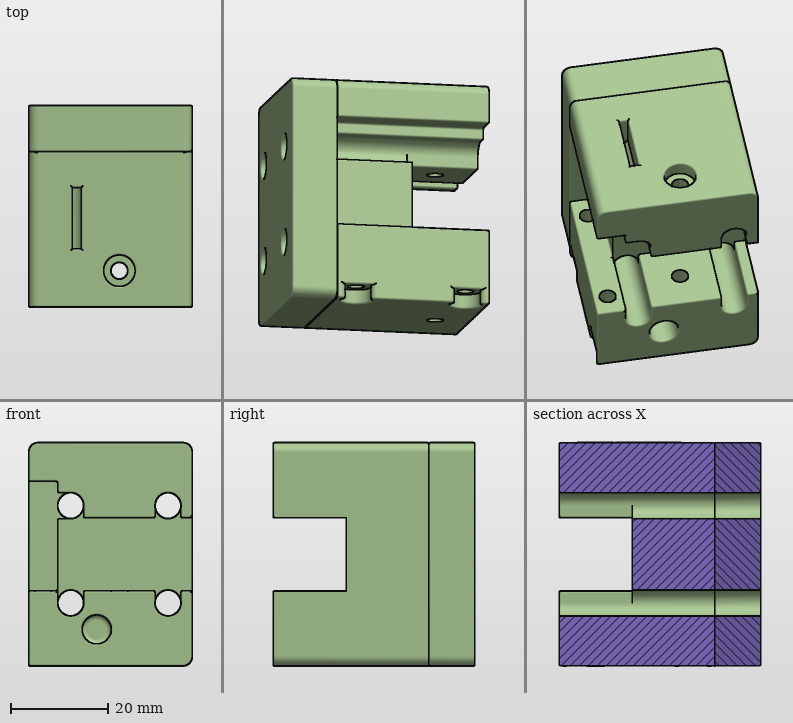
import cadquery as cq
WIDTH = 33.65
DEPTH = 41.5
HEIGHT = 46.0
BODY_DEPTH = 32.0

CORNER_RADIUS = 2.0
EDGE_RADIUS = 0.4

SELECT = 0.05

ROD_DIAMETER = 5.3
ROD_RADIUS = ROD_DIAMETER / 2
ROD_SPACING = 20.0
ROD_LEFT_X = 8.65
ROD_LOW_Z = (HEIGHT - ROD_SPACING) / 2
ROD_HIGH_Z = ROD_LOW_Z + ROD_SPACING
ROD_XS = (ROD_LEFT_X, ROD_LEFT_X + ROD_SPACING)

JAW_GAP = 15.0
JAW_DEPTH = 15.0
JAW_LOW_Z = (HEIGHT - JAW_GAP) / 2
JAW_HIGH_Z = JAW_LOW_Z + JAW_GAP

RECESS_WIDTH = 6.0
RECESS_TOP_Z = 38.0

CLAMP_X = ROD_LEFT_X + ROD_SPACING / 2
CLAMP_Y = 7.5
CLAMP_DIAMETER = 3.4
CLAMP_HEAD_DIAMETER = 6.5
CLAMP_HEAD_DEPTH = 3.0

SLOT_MIN_X = 9.0
SLOT_WIDTH = 1.8
SLOT_MIN_Y = 12.0
SLOT_LENGTH = 12.6
SLOT_FLOOR_DIAMETER = 5.5
SLOT_FLOOR_X = 8.35
SLOT_FLOOR_Z = 41.4

MOUNT_X = 3.0
MOUNT_YS = (4.5, 27.5)
MOUNT_DIAMETER = 3.4
MOUNT_HEAD_DIAMETER = 6.5
MOUNT_MOUTH_RADIUS = 1.0
MOUNT_HEAD_DEPTH = 3.0

SOCKET_X = 14.0
SOCKET_Z = 7.55
SOCKET_DIAMETER = 6.0
SOCKET_FLOOR_DIAMETER = 4.0
SOCKET_DEPTH = 20.0


def block(x, y, z):
    """Box spanning the given (low, high) limits along each axis."""
    size = (x[1] - x[0], y[1] - y[0], z[1] - z[0])
    return cq.Workplane("XY").box(*size, centered=False).translate((x[0], y[0], z[0]))


def bore_y(x, z, diameter, start_y, end_y):
    """Cylinder along Y between two depths."""
    return (
        cq.Workplane("XZ", origin=(x, start_y, z)).circle(diameter / 2).extrude(start_y - end_y)
    )


def bore_z(x, y, diameter, start_z, end_z):
    """Cylinder along Z between two heights."""
    return (
        cq.Workplane("XY", origin=(x, y, start_z)).circle(diameter / 2).extrude(end_z - start_z)
    )


def body_blank():
    """Plain body with its rear top edge and three long corners rounded."""
    blank = block((0, WIDTH), (0, BODY_DEPTH), (0, HEIGHT))
    blank = blank.edges(">Z and >Y").fillet(EDGE_RADIUS)
    corners = block((0, WIDTH), (0, BODY_DEPTH), (0, HEIGHT))
    return blank.intersect(corners.edges("|Y and (>Z or >X)").fillet(CORNER_RADIUS))


def side_recess():
    recess = block((-RECESS_WIDTH, RECESS_WIDTH), (0, BODY_DEPTH), (JAW_LOW_Z, RECESS_TOP_Z))
    return recess.edges("|Y and >X").fillet(EDGE_RADIUS)


def rod_cutters():
    cutters = []
    for x in ROD_XS:
        sides = (x - ROD_RADIUS, x + ROD_RADIUS)
        cutters.append(block(sides, (0, JAW_DEPTH), (ROD_LOW_Z, ROD_HIGH_Z)))
        for z in (ROD_LOW_Z, ROD_HIGH_Z):
            cutters.append(bore_y(x, z, ROD_DIAMETER, 0, BODY_DEPTH))
    cutters.append(
        block(
            (0, ROD_LEFT_X),
            (0, BODY_DEPTH),
            (ROD_HIGH_Z - ROD_RADIUS, ROD_HIGH_Z + ROD_RADIUS),
        )
    )
    return cutters


def socket_cutter():
    socket = bore_y(SOCKET_X, SOCKET_Z, SOCKET_DIAMETER, 0, SOCKET_DEPTH)
    return socket.faces(">Y").edges().fillet((SOCKET_DIAMETER - SOCKET_FLOOR_DIAMETER) / 2)


def cut_jaws(body):
    body = body.cut(block((0, WIDTH), (0, JAW_DEPTH), (JAW_LOW_Z, JAW_HIGH_Z)))
    body = body.cut(side_recess())
    for cutter in rod_cutters():
        body = body.cut(cutter)
    return body


def round_long_edges(body):
    """Round the sharp edges that run along Y beside the jaws and the side recess."""
    corners = [
        (0, JAW_LOW_Z),
        (0, RECESS_TOP_Z),
        (RECESS_WIDTH, ROD_HIGH_Z - ROD_RADIUS),
        (RECESS_WIDTH, ROD_HIGH_Z + ROD_RADIUS),
    ]
    groove_edges = (ROD_XS[0] + ROD_RADIUS, ROD_XS[1] - ROD_RADIUS, ROD_XS[1] + ROD_RADIUS)
    corners += [(x, z) for x in groove_edges for z in (JAW_LOW_Z, JAW_HIGH_Z)]
    for x, z in corners:
        corner = cq.selectors.BoxSelector(
            (x - SELECT, 0, z - SELECT), (x + SELECT, BODY_DEPTH, z + SELECT)
        )
        body = body.edges("|Y").edges(corner).fillet(EDGE_RADIUS)
    return body


def cut_clamp_screw(body):
    body = body.cut(bore_z(CLAMP_X, CLAMP_Y, CLAMP_DIAMETER, 0, HEIGHT))
    head_floor = HEIGHT - CLAMP_HEAD_DEPTH
    return body.cut(bore_z(CLAMP_X, CLAMP_Y, CLAMP_HEAD_DIAMETER, head_floor, HEIGHT))


def slot_cutter():
    """Blind slot whose floor is part of a wider cylinder lying along Y."""
    x_limits = (SLOT_MIN_X, SLOT_MIN_X + SLOT_WIDTH)
    y_limits = (SLOT_MIN_Y, SLOT_MIN_Y + SLOT_LENGTH)
    lower = block(x_limits, y_limits, (SLOT_FLOOR_Z - SLOT_FLOOR_DIAMETER, SLOT_FLOOR_Z))
    lower = lower.intersect(bore_y(SLOT_FLOOR_X, SLOT_FLOOR_Z, SLOT_FLOOR_DIAMETER, *y_limits))
    return lower.union(block(x_limits, y_limits, (SLOT_FLOOR_Z, HEIGHT)))


def cut_mounts(body):
    for y in MOUNT_YS:
        body = body.cut(bore_z(MOUNT_X, y, MOUNT_DIAMETER, 0, JAW_LOW_Z))
        body = body.cut(bore_z(MOUNT_X, y, MOUNT_HEAD_DIAMETER, 0, MOUNT_HEAD_DEPTH))
    return body


def round_mount_mouths(body):
    """Round the edges where the screw head pockets break out of the left side."""
    for direction, radius in (("|Z", MOUNT_MOUTH_RADIUS), ("|Y", EDGE_RADIUS)):
        for y in MOUNT_YS:
            half = MOUNT_HEAD_DIAMETER / 2
            mouth = cq.selectors.BoxSelector(
                (-SELECT, y - half, SELECT), (SELECT, y + half, MOUNT_HEAD_DEPTH + SELECT)
            )
            body = body.edges(mouth).edges(direction).fillet(radius)
    return body


def round_bottom_left(body):
    """Round the lower left edge together with the rims of the screw head pockets."""
    reach = MOUNT_X + MOUNT_HEAD_DIAMETER / 2
    rims = cq.selectors.BoxSelector(
        (-SELECT, SELECT, -SELECT), (reach, BODY_DEPTH - SELECT, SELECT)
    )
    return body.edges(rims).fillet(EDGE_RADIUS)


def round_top_openings(body):
    """Round the rims of the slot and the clamp screw counterbore."""
    openings = cq.selectors.BoxSelector(
        (CORNER_RADIUS + SELECT, EDGE_RADIUS + SELECT, HEIGHT - SELECT),
        (WIDTH - CORNER_RADIUS - SELECT, BODY_DEPTH - EDGE_RADIUS - SELECT, HEIGHT + SELECT),
    )
    return body.faces(">Z").edges(openings).fillet(EDGE_RADIUS)


def make_body():
    body = round_mount_mouths(cut_mounts(body_blank()))
    body = round_bottom_left(body)
    body = round_long_edges(cut_jaws(body))
    body = body.cut(socket_cutter())
    body = body.faces("<Y").edges().fillet(EDGE_RADIUS)
    body = cut_clamp_screw(body).cut(slot_cutter())
    return round_top_openings(body)


def make_plate():
    plate = block((0, WIDTH), (BODY_DEPTH, DEPTH), (0, HEIGHT))
    plate = plate.edges("|Y").fillet(CORNER_RADIUS)
    for x in ROD_XS:
        for z in (ROD_LOW_Z, ROD_HIGH_Z):
            plate = plate.cut(bore_y(x, z, ROD_DIAMETER, BODY_DEPTH, DEPTH))
    return plate.faces("<Y or >Y").edges().fillet(EDGE_RADIUS)


body = make_body()
plate = make_plate()
result = cq.Compound.makeCompound([body.val(), plate.val()])